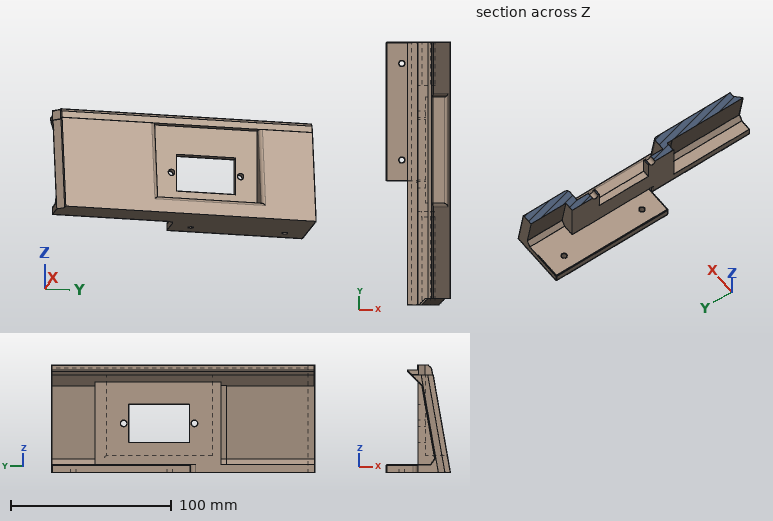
import cadquery as cq
import math

LENGTH = 163.6
DEPTH = 40.1
LEAN_ANGLE = 10
LEAN = math.tan(math.radians(LEAN_ANGLE))

PICK_MARGIN = 0.8

CAP_BASE_Z = 60.5
FLOOR_HEIGHT = 4.9
FRONT_X = 19.8
WALL_WIDTH = 8.2
HEEL_WIDTH = 2.6
HEEL_TOP_Z = 8.5
CHANNEL_END_CHAMFER = 0.3

LIP_TIP_X = 13.3
LIP_EDGE_Z = 63.0
LIP_THICKNESS = 0.9
LIP_TOP_Z = LIP_EDGE_Z + LIP_THICKNESS
RAIL_X = 19.5
RAIL_HEIGHT = 3.1
HEIGHT = LIP_TOP_Z + RAIL_HEIGHT
RAIL_TOP_X = 26.0
SHOULDER_X = 28.3
SHOULDER_Z = 65.0
CAP_BASE_X = 29.1
RAIL_EDGE_CHAMFER = 0.3
END_CHAMFER = 0.5

BLOCK_Y0 = 58.4
BLOCK_Y1 = 136.8
PAD_WIDTH = 3.5
PAD_THICKNESS = 0.2
WINDOW_WIDTH = 37.6
WINDOW_HEIGHT = 23.7
WINDOW_Y = 96.9
WINDOW_Z = 30.6
SCREW_HOLE_DIAMETER = 4.0
SCREW_HOLE_SPACING = 44.0

RECESS_Y0 = 63.5
RECESS_Y1 = 129.4
RECESS_X = 24.7
RECESS_Z0 = 10.6
RECESS_Z1 = CAP_BASE_Z
RECESS_ROUND = 2.3

PLATE_Y0 = 77.2
PLATE_CHAMFER = 0.5
PLATE_CORNER_RADIUS = 3.0
PLATE_HOLE_DIAMETER = 3.5
PLATE_HOLE_RIM_DIAMETER = 4.0
PLATE_HOLE_X = 9.8
PLATE_HOLE_YS = (90.3, 150.4)

REBATE_DEPTH = 4.1
SKIN_WIDTH = 3.5
CAP_REBATE_X = 20.3


def outer_x(z):
    """Position of the leaning outer face at height z."""
    return DEPTH - z * LEAN


def underside_z(x):
    """Height of the 45 degree underside at x; the same call gives x from a height."""
    return LIP_EDGE_Z + LIP_TIP_X - x


def prism(points, y0, y1):
    """Extrude an XZ outline from y0 to y1."""
    return cq.Workplane("XZ", origin=(0, y0, 0)).polyline(points).close().extrude(y0 - y1)


def channel_prism(wall_width, y0, y1):
    """Stretch of floor, leaning wall and flared top, without the centre block."""

    def inner_x(z):
        return outer_x(z) - wall_width

    flare_z = (underside_z(0) - DEPTH + wall_width) / (1 - LEAN)
    points = [
        (FRONT_X, 0),
        (DEPTH, 0),
        (outer_x(CAP_BASE_Z), CAP_BASE_Z),
        (underside_z(CAP_BASE_Z), CAP_BASE_Z),
        (inner_x(flare_z), flare_z),
        (inner_x(HEEL_TOP_Z), HEEL_TOP_Z),
        (inner_x(HEEL_TOP_Z) - HEEL_WIDTH, FLOOR_HEIGHT),
        (FRONT_X, FLOOR_HEIGHT),
    ]
    return prism(points, y0, y1)


def block_prism():
    """Solid stretch with an upright inner face."""
    points = [
        (FRONT_X, 0),
        (DEPTH, 0),
        (outer_x(CAP_BASE_Z), CAP_BASE_Z),
        (underside_z(CAP_BASE_Z), CAP_BASE_Z),
        (FRONT_X, underside_z(FRONT_X)),
    ]
    return prism(points, BLOCK_Y0, BLOCK_Y1)


def plate_hole(y):
    """Through hole with a chamfered upper rim."""
    hole = cq.Workplane("XY").circle(PLATE_HOLE_DIAMETER / 2).extrude(FLOOR_HEIGHT)
    rim_depth = (PLATE_HOLE_RIM_DIAMETER - PLATE_HOLE_DIAMETER) / 2
    rim = cq.Workplane("XY", origin=(0, 0, FLOOR_HEIGHT - rim_depth)).circle(PLATE_HOLE_DIAMETER / 2)
    rim = rim.workplane(offset=rim_depth).circle(PLATE_HOLE_RIM_DIAMETER / 2).loft()
    return hole.union(rim).translate((PLATE_HOLE_X, y, 0))


def mounting_plate():
    """Flat foot in front of the floor, with a concave rounded corner where it starts."""
    plate = cq.Workplane("XY").box(FRONT_X, LENGTH - PLATE_Y0, FLOOR_HEIGHT, centered=False)
    plate = plate.translate((0, PLATE_Y0, 0))
    plate = plate.faces("<X").edges("|Z").chamfer(PLATE_CHAMFER)
    plate = plate.faces(">Z").edges("not >X").chamfer(PLATE_CHAMFER)
    corner = (
        cq.Workplane("XY")
        .moveTo(FRONT_X, PLATE_Y0)
        .lineTo(FRONT_X - PLATE_CORNER_RADIUS, PLATE_Y0)
        .radiusArc((FRONT_X, PLATE_Y0 - PLATE_CORNER_RADIUS), PLATE_CORNER_RADIUS)
        .close()
        .extrude(FLOOR_HEIGHT)
    )
    plate = plate.union(corner)
    for y in PLATE_HOLE_YS:
        plate = plate.cut(plate_hole(y))
    return plate


def recess():
    """Pocket in the outer face, open at the top under the cap."""
    points = [
        (RECESS_X, RECESS_Z0),
        (outer_x(RECESS_Z0), RECESS_Z0),
        (outer_x(RECESS_Z1), RECESS_Z1),
        (RECESS_X, RECESS_Z1),
    ]
    return prism(points, RECESS_Y0, RECESS_Y1)


def window_and_screw_holes():
    through = DEPTH - FRONT_X
    face = cq.Workplane("YZ", origin=(FRONT_X, WINDOW_Y, WINDOW_Z))
    window = face.rect(WINDOW_WIDTH, WINDOW_HEIGHT).extrude(through)
    holes = face.rarray(SCREW_HOLE_SPACING, 1.6, 2, 1).circle(SCREW_HOLE_DIAMETER / 2).extrude(through)
    return window.union(holes)


def rebate_section(inner_x, z):
    """Mitred corner removed from the open end, starting at inner_x on the end plane."""
    points = [
        (inner_x, 0),
        (DEPTH, 0),
        (DEPTH, REBATE_DEPTH),
        (inner_x + REBATE_DEPTH, REBATE_DEPTH),
    ]
    return cq.Workplane("XY", origin=(0, 0, z)).polyline(points).close().wires().val()


def end_rebate(bottom_x, bottom_z, top_x, top_z):
    """Cutter for the mitred corner between two heights."""
    sections = [rebate_section(bottom_x, bottom_z), rebate_section(top_x, top_z)]
    return cq.Workplane(cq.Solid.makeLoft(sections, True))


def break_channel_end(channel):
    """Chamfer the floor and flare edges at the open end."""
    floor_edge = cq.selectors.BoxSelector(
        (FRONT_X, -PICK_MARGIN, FLOOR_HEIGHT - PICK_MARGIN),
        (FRONT_X + WALL_WIDTH, PICK_MARGIN, FLOOR_HEIGHT + PICK_MARGIN),
    )
    flare_edge = cq.selectors.BoxSelector(
        (LIP_TIP_X, -PICK_MARGIN, CAP_BASE_Z - WALL_WIDTH),
        (FRONT_X, PICK_MARGIN, CAP_BASE_Z - PICK_MARGIN),
    )
    return channel.edges(floor_edge + flare_edge).chamfer(CHANNEL_END_CHAMFER)


def round_recess_mouth(housing):
    """Fillet the two leaning sides and the bottom of the recess mouth."""
    recess_middle_x = (RECESS_X + outer_x(RECESS_Z0)) / 2
    mouth = cq.selectors.BoxSelector(
        (recess_middle_x + PICK_MARGIN, RECESS_Y0 - PICK_MARGIN, RECESS_Z0 - PICK_MARGIN),
        (DEPTH, RECESS_Y1 + PICK_MARGIN, RECESS_Z1 - PICK_MARGIN),
    )
    return housing.edges(mouth).fillet(RECESS_ROUND)


def make_housing():
    """Leaning wall with floor, centre block and mounting plate."""
    pad_y0 = BLOCK_Y0 - PAD_WIDTH
    channel = break_channel_end(channel_prism(WALL_WIDTH, 0, LENGTH))
    housing = (
        channel
        .union(channel_prism(WALL_WIDTH + PAD_THICKNESS, pad_y0, BLOCK_Y0))
        .union(block_prism())
        .union(mounting_plate())
        .cut(recess())
    )
    housing = round_recess_mouth(housing)
    rebate_x = DEPTH - SKIN_WIDTH - REBATE_DEPTH
    rebate = end_rebate(rebate_x, 0, rebate_x - DEPTH + outer_x(CAP_BASE_Z), CAP_BASE_Z)
    return housing.cut(window_and_screw_holes()).cut(rebate)


def make_cap():
    """Lipped rail that runs along the top of the housing."""
    points = [
        (LIP_TIP_X, LIP_EDGE_Z),
        (LIP_TIP_X, LIP_TOP_Z),
        (RAIL_X, LIP_TOP_Z),
        (RAIL_X, HEIGHT - RAIL_EDGE_CHAMFER),
        (RAIL_X + RAIL_EDGE_CHAMFER, HEIGHT),
        (RAIL_TOP_X, HEIGHT),
        (SHOULDER_X, SHOULDER_Z),
        (CAP_BASE_X, CAP_BASE_Z),
        (underside_z(CAP_BASE_Z), CAP_BASE_Z),
    ]
    cap = prism(points, 0, LENGTH)
    cap = cap.faces("<Y").edges("(not |X) or <Z").chamfer(END_CHAMFER)
    return cap.cut(end_rebate(CAP_REBATE_X, CAP_BASE_Z, CAP_REBATE_X, HEIGHT))


housing = make_housing()
cap = make_cap()
result = cq.Compound.makeCompound([housing.val(), cap.val()])